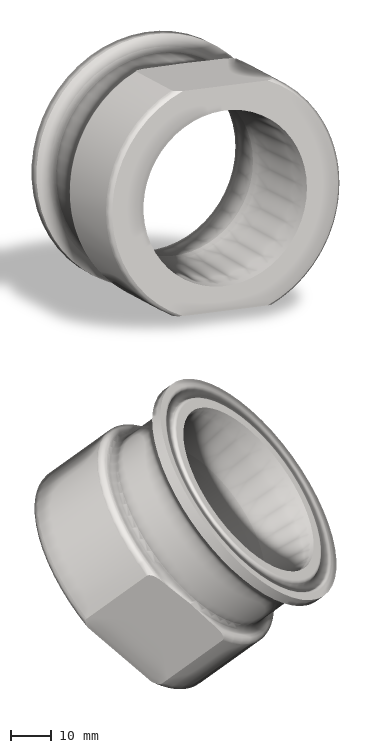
import cadquery as cq
import math

total_length = 42.85
flange_radius = 31.95
rim_width = 2.75
shoulder_angle = 20.0

neck_radius = 27.85
fillet_radius = 1.65

nut_start = 19.6
nut_radius = 31.7
flat_height = 28.55
end_round_length = 1.65
end_face_radius = 30.8

groove_outer_radius = 30.1
groove_inner_radius = 26.05
groove_depth = 1.65
lip_share = 0.4

mouth_radius = 23.65
throat_radius = 21.45
throat_start = 14.3
throat_end = 17.0
socket_taper = 1 / 16

shoulder_slope = math.tan(math.radians(shoulder_angle))
neck_start = rim_width + (flange_radius - neck_radius) * shoulder_slope


def revolve_about_x(profile):
    return profile.close().revolve(360, (0, 0, 0), (1, 0, 0))


def round_body():
    profile = (
        cq.Workplane("XY")
        .lineTo(0, flange_radius)
        .lineTo(rim_width, flange_radius)
        .lineTo(neck_start, neck_radius)
        .lineTo(nut_start, neck_radius)
        .lineTo(nut_start, nut_radius)
        .lineTo(total_length - end_round_length, nut_radius)
        .tangentArcPoint((total_length, end_face_radius), relative=False)
        .lineTo(total_length, 0)
    )
    body = revolve_about_x(profile)
    margin = 0.3
    neck_circles = cq.selectors.BoxSelector(
        (neck_start - margin, -margin, -margin),
        (nut_start + margin, margin, margin),
    )
    return body.edges(neck_circles).fillet(fillet_radius)


def nut_flats():
    """Blocks that trim the nut, and the fillet in front of it, to the two flats."""
    start = nut_start - fillet_radius
    block = cq.Workplane("XY").box(
        total_length - start,
        2 * flange_radius,
        flange_radius - flat_height,
        centered=(False, True, False),
    )
    upper = block.translate((start, 0, flat_height))
    return upper.union(upper.mirror("XY"))


def gasket_groove():
    """Ring with a round bottom and rounded lips, joined by tangent arcs."""
    middle = (groove_outer_radius + groove_inner_radius) / 2
    half_width = (groove_outer_radius - groove_inner_radius) / 2
    lip_depth = lip_share * groove_depth
    lip_offset = (1 - lip_share) * half_width
    wall_angle = 2 * math.atan2(groove_depth, half_width)
    lip_radius = lip_share * half_width / math.sin(wall_angle)
    profile = (
        cq.Workplane("XY")
        .moveTo(0, groove_outer_radius)
        .radiusArc((lip_depth, middle + lip_offset), -lip_radius)
        .threePointArc((groove_depth, middle), (lip_depth, middle - lip_offset))
        .radiusArc((0, groove_inner_radius), -lip_radius)
    )
    return revolve_about_x(profile)


def bore():
    socket_radius = throat_radius + (total_length - throat_end) * socket_taper / 2
    profile = (
        cq.Workplane("XY")
        .lineTo(0, mouth_radius)
        .lineTo(throat_start, throat_radius)
        .lineTo(throat_end, throat_radius)
        .lineTo(total_length, socket_radius)
        .lineTo(total_length, 0)
    )
    return revolve_about_x(profile)


result = round_body().cut(nut_flats()).cut(gasket_groove()).cut(bore())